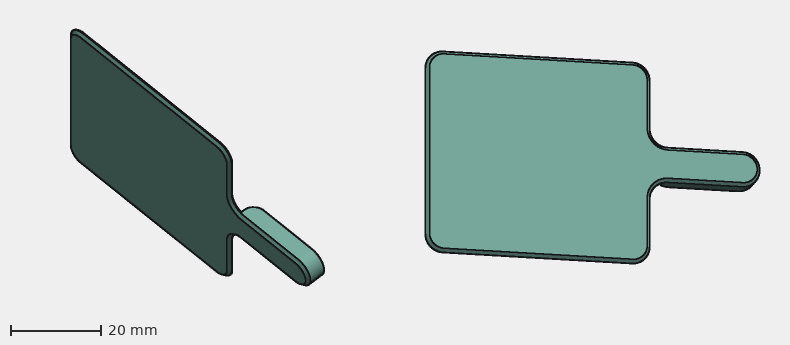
import cadquery as cq

total_length = 76.0
panel_length = 51.0
panel_height = 46.0
panel_thickness = 1.0
corner_radius = 4.0
handle_width = 8.0
total_depth = 5.0
edge_bevel = 0.75
grip_start = 53.8
grip_nose_radius = 3.0

handle_radius = handle_width / 2
handle_length = total_length - panel_length
overlap = panel_length / 2


def extrude_back(sketch_plane, depth):
    """Extrude a front-face sketch towards +Y (the XZ normal points to -Y)."""
    return sketch_plane.extrude(-depth)


def paddle(depth):
    """Panel and handle of one outline, with rounded corners and blended neck."""
    panel = extrude_back(
        cq.Workplane("XZ").center(panel_length / 2, 0).rect(panel_length, panel_height), depth
    )
    panel = panel.edges("|Y").fillet(corner_radius)

    straight_length = overlap + handle_length - handle_radius
    handle = extrude_back(
        cq.Workplane("XZ")
        .moveTo(panel_length - overlap, -handle_radius)
        .hLine(straight_length)
        .threePointArc((total_length, 0), (total_length - handle_radius, handle_radius))
        .hLine(-straight_length)
        .close(),
        depth,
    )

    neck_edges = cq.selectors.BoxSelector(
        (panel_length - edge_bevel, -edge_bevel, -handle_width),
        (panel_length + edge_bevel, depth + edge_bevel, handle_width),
    )
    return panel.union(handle).edges("|Y").edges(neck_edges).fillet(corner_radius)


def grip_envelope():
    """Side profile of the raised grip, rounded at the end facing the panel."""
    envelope = cq.Workplane("XY").box(
        total_length - grip_start, total_depth, panel_height, centered=(False, False, True)
    ).translate((grip_start, 0, 0))
    return envelope.edges("<X and >Y").fillet(grip_nose_radius)


plate = paddle(panel_thickness).faces("<Y").chamfer(edge_bevel)

behind_plate = cq.Workplane("XY").box(
    total_length, total_depth - panel_thickness, panel_height, centered=(False, False, True)
).translate((0, panel_thickness, 0))
grip = paddle(total_depth).intersect(grip_envelope()).intersect(behind_plate)

result = plate.union(grip)